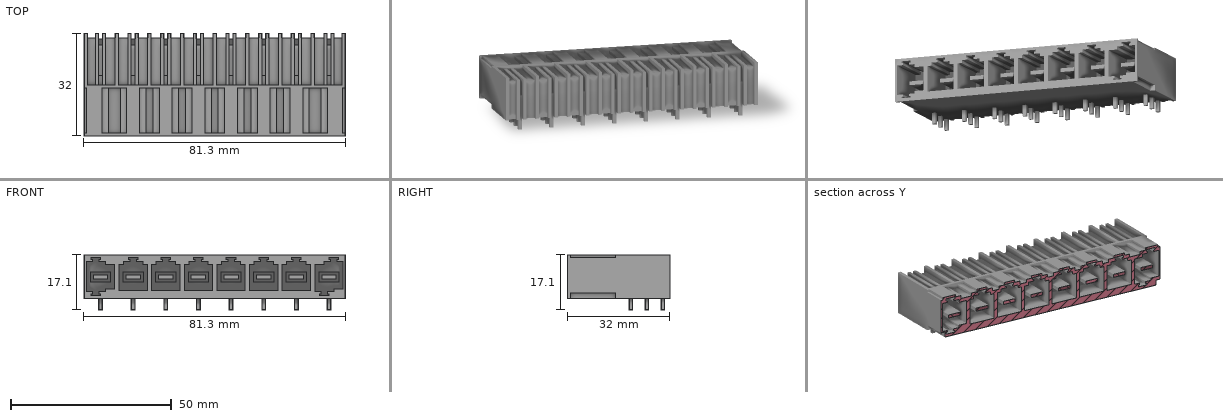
import cadquery as cq


positions = 8
pitch = 10.16
length = positions * pitch
depth = 32.0
height = 13.6
cell_centers = [(i - (positions - 1) / 2) * pitch for i in range(positions)]

socket_depth = 15.0
socket_width = 8.8
socket_floor = 2.45
socket_shoulder = 10.55
key_step_width = 6.0
key_step_top = 11.5
key_neck_width = 2.0
key_head_width = 3.0
key_head_bottom = 12.2
key_head_top = 12.75
end_key_offset = 1.5

end_socket_floor = 2.95
low_step_bottom = 2.2
low_head_top = 1.45
low_head_bottom = 1.0

front_flange = 1.0
skin_depth = 0.8
skin_inner_depth = 1.8
head_wall = 0.5
step_wall = 1.0
top_corner_width = 0.8
bottom_corner_width = 1.5
bottom_corner_height = 1.7

channel_start = 16.0
channel_floor = 12.0
rear_face = 30.6
partition = 1.1
fin_width = 1.0
fin_top = 12.8

contact_thickness = 1.2
blade_width = 4.5
blade_center_z = 6.7
blade_tip = 5.0
blade_bottom = blade_center_z - contact_thickness / 2
blade_top = blade_center_z + contact_thickness / 2
spine_front = 18.9
spine_rear = 30.3
spine_shoulder = 28.4
leg_width = 1.1
leg_pitch = 5.0
leg_count = 3
leg_length = 3.5
first_leg_center = spine_rear - leg_width / 2

aperture_width = 6.3
aperture_height = 3.2
aperture_depth = 1.5


def box(x0, x1, y0, y1, z0, z1):
    return cq.Workplane("XY").box(x1 - x0, y1 - y0, z1 - z0, centered=False).translate((x0, y0, z0))


def centered_box(x, width, y0, y1, z0, z1):
    return box(x - width / 2, x + width / 2, y0, y1, z0, z1)


def upper_key_x(i):
    """X of the upper keyway: moved outwards in the two end sockets."""
    if i == 0:
        return cell_centers[i] - end_key_offset
    if i == positions - 1:
        return cell_centers[i] + end_key_offset
    return cell_centers[i]


def key_step(cell_x, key_x, z0, z1):
    """Wide step of a keyway, kept within the side walls of the socket."""
    left = max(cell_x - socket_width / 2, key_x - key_step_width / 2)
    right = min(cell_x + socket_width / 2, key_x + key_step_width / 2)
    return box(left, right, 0, socket_depth, z0, z1)


def socket_cavity(i):
    x = cell_centers[i]
    key_x = upper_key_x(i)
    is_end = i in (0, positions - 1)
    floor = end_socket_floor if is_end else socket_floor
    cavity = centered_box(x, socket_width, 0, socket_depth, floor, socket_shoulder)
    cavity = cavity.union(key_step(x, key_x, socket_shoulder, key_step_top))
    cavity = cavity.union(centered_box(key_x, key_neck_width, 0, socket_depth, key_step_top, key_head_bottom))
    cavity = cavity.union(centered_box(key_x, key_head_width, 0, socket_depth, key_head_bottom, key_head_top))
    if is_end:
        low_x = x - end_key_offset
        cavity = cavity.union(key_step(x, low_x, low_step_bottom, floor))
        cavity = cavity.union(centered_box(low_x, key_neck_width, 0, socket_depth, low_head_top, low_step_bottom))
        cavity = cavity.union(centered_box(low_x, key_head_width, 0, socket_depth, low_head_bottom, low_head_top))
    aperture = centered_box(
        x, aperture_width, socket_depth, socket_depth + aperture_depth,
        blade_center_z - aperture_height / 2, blade_center_z + aperture_height / 2,
    )
    return cavity.union(aperture)


def top_relief(i):
    """Stepped pocket in the top skin between the keyways of sockets i and i + 1."""
    left_key = upper_key_x(i)
    right_key = upper_key_x(i + 1)
    head_reach = key_head_width / 2 + head_wall
    step_reach = key_step_width / 2 + step_wall
    outer = box(
        left_key + head_reach, right_key - head_reach,
        front_flange, socket_depth, height - skin_depth, height,
    )
    inner = box(
        left_key + step_reach, right_key - step_reach,
        front_flange, socket_depth, height - skin_inner_depth, height,
    )
    return outer.union(inner)


def corner_reliefs(side):
    """Notches along the upper and lower long edges of one end face (side is -1 or +1)."""
    end_x = side * length / 2
    top = centered_box(
        end_x, 2 * top_corner_width, front_flange, socket_depth, height - skin_depth, height,
    )
    bottom = centered_box(
        end_x, 2 * bottom_corner_width, front_flange, socket_depth, 0, bottom_corner_height,
    )
    return top.union(bottom)


def rear_fins():
    """Partitions between positions, end walls, and a pair of fins beside each contact."""
    half_length = length / 2
    fins = [
        box(-half_length, -half_length + partition, channel_start, depth, 0, height),
        box(half_length - partition, half_length, channel_start, depth, 0, height),
    ]
    for x in cell_centers[:-1]:
        fins.append(centered_box(x + pitch / 2, partition, channel_start, depth, 0, height))
    fin_offset = (contact_thickness + fin_width) / 2
    for x in cell_centers:
        for side in (-1, 1):
            fins.append(centered_box(x + side * fin_offset, fin_width, channel_start, depth, 0, fin_top))
    return fins


def make_contact(x):
    """Horizontal blade joined to an upright spine with three solder legs."""
    blade = centered_box(x, blade_width, blade_tip, spine_front, blade_bottom, blade_top)
    spine = centered_box(x, contact_thickness, spine_front, spine_shoulder, blade_bottom, channel_floor)
    shoulder = centered_box(x, contact_thickness, spine_shoulder, spine_rear, blade_bottom, blade_top)
    contact = blade.union(spine).union(shoulder)
    for n in range(leg_count):
        y = first_leg_center - n * leg_pitch
        leg = centered_box(
            x, contact_thickness, y - leg_width / 2, y + leg_width / 2, -leg_length, blade_bottom,
        )
        contact = contact.union(leg)
    return contact


def contact_clearance(x):
    """Open space over the rear shoulder of a contact and behind it, between its fins."""
    above = centered_box(x, contact_thickness, spine_shoulder, rear_face, blade_top, channel_floor)
    behind = centered_box(x, contact_thickness, spine_rear, rear_face, 0, channel_floor)
    return above.union(behind)


def make_housing(contacts):
    half_length = length / 2
    body = box(-half_length, half_length, 0, channel_start, 0, height)
    body = body.union(box(-half_length, half_length, channel_start, rear_face, 0, channel_floor))
    for fin in rear_fins():
        body = body.union(fin)
    for i in range(positions):
        body = body.cut(socket_cavity(i))
    for i in range(positions - 1):
        body = body.cut(top_relief(i))
    for side in (-1, 1):
        body = body.cut(corner_reliefs(side))
    for x, contact in zip(cell_centers, contacts):
        body = body.cut(contact_clearance(x)).cut(contact)
    return body


contacts = [make_contact(x) for x in cell_centers]
housing = make_housing(contacts)

contact_solids = [contact.solids().val() for contact in contacts]
result = cq.Compound.makeCompound([housing.solids().val(), *contact_solids])